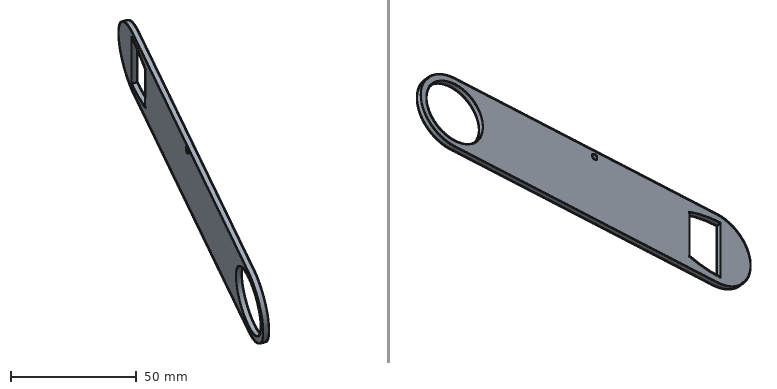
import cadquery as cq
import math

length = 170.0
width = 35.0
thickness = 2.5

end_radius = width / 2
ring_center_x = length / 2 - end_radius
ring_margin = 3.0
ring_radius = end_radius - ring_margin

window_left_x = -69.5
window_length = 16.0
window_half_width = 14.0
window_side_radius = 50.0

small_hole_x = -4.6
small_hole_z = 14.4
small_hole_diameter = 2.6


def side_half_width(distance):
    """Half width of the window at a distance from its wide edge, where the sides start parallel to X."""
    drop = window_side_radius - math.sqrt(window_side_radius**2 - distance**2)
    return window_half_width - drop


def make_plate():
    """Plate with fully rounded ends."""
    return cq.Workplane("XZ").slot2D(length, width).extrude(thickness / 2, both=True)


def make_window():
    """Opener window cutter with two straight edges and two arc sides."""
    middle = window_length / 2
    middle_x = window_left_x + middle
    right_x = window_left_x + window_length
    middle_z = side_half_width(middle)
    right_z = side_half_width(window_length)
    return (
        cq.Workplane("XZ")
        .moveTo(window_left_x, -window_half_width)
        .lineTo(window_left_x, window_half_width)
        .threePointArc((middle_x, middle_z), (right_x, right_z))
        .lineTo(right_x, -right_z)
        .threePointArc((middle_x, -middle_z), (window_left_x, -window_half_width))
        .close()
        .extrude(thickness, both=True)
    )


def make_round_cutter(x, z, radius):
    """Cylinder along Y that passes right through the plate."""
    return cq.Workplane("XZ").center(x, z).circle(radius).extrude(thickness, both=True)


result = (
    make_plate()
    .cut(make_window())
    .cut(make_round_cutter(ring_center_x, 0, ring_radius))
    .cut(make_round_cutter(small_hole_x, small_hole_z, small_hole_diameter / 2))
)